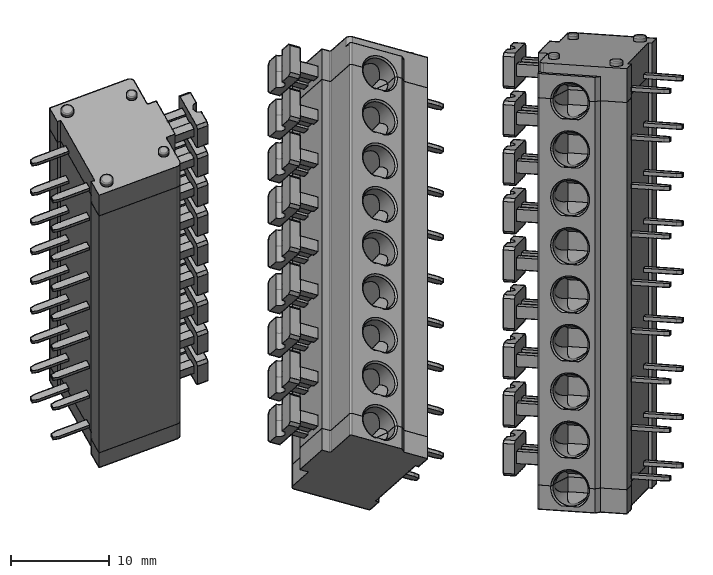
import cadquery as cq


POLES = 9
MIDDLE_LENGTH = 40.65
PITCH = MIDDLE_LENGTH / (POLES - 1)

PLATE_TOP = PITCH / 2
MIDDLE_TOP = PLATE_TOP + MIDDLE_LENGTH
RIB_TOP = MIDDLE_TOP + PITCH / 2
PEG_HEIGHT = 0.45
LENGTH = 47.2
HOUSING_TOP = LENGTH - PEG_HEIGHT

WIDTH = 12.5
RIB_DEPTH = 0.45
WALL_X = RIB_DEPTH
HOUSING_HEIGHT = 9.2
FOOT_WIDTH = 1.9
FOOT_HEIGHT = 0.4
BOSS_LEFT = 4.15
BOSS_WIDTH = 4.6
BOSS_RIGHT = BOSS_LEFT + BOSS_WIDTH
BOSS_TOP = 10.2
BOSS_BASE_RADIUS = 0.15
CORNER_RADIUS = 0.5

RIB_BOTTOM = 2.75
RIB_RADIUS = 0.2

ENTRY_Y = 5.8
ENTRY_DROP = 0.2
ENTRY_DIAMETER = 3.7
ENTRY_CHAMFER = 0.2
BORE_DEPTH = 0.95
FUNNEL_DEPTH = 2.85
MOUTH_LOW_Y, MOUTH_HIGH_Y = -2.1, 1.85
MOUTH_LOW_Z, MOUTH_HIGH_Z = -1.85, 2.1
FLOOR_LOW_Y, FLOOR_HIGH_Y = -1.15, 1.2
FLOOR_LOW_Z, FLOOR_HIGH_Z = -1.35, 0.55

LEVER_X = BOSS_LEFT + BOSS_WIDTH / 2
HEAD_RISE = 1.35
STEM_RISE = 1.3
LEVER_TOP = 13.9
HEAD_THICKNESS = 1.2
HEAD_HEIGHT = 3.75
HEAD_CHAMFER = 0.305
HEAD_GROOVE_DIAMETER = 1.25
STEM_WIDTH = 2.9
STEM_HEIGHT = 1.27
WEB_WIDTH = 1.15
WEB_THICKNESS = 0.7

FRONT_PIN_X = 3.95
PIN_X = (FRONT_PIN_X, FRONT_PIN_X + PITCH)
PIN_RISE = 0.5
PIN_WIDTH = 0.75
PIN_THICKNESS = 0.42
PIN_LENGTH = 3.65
PIN_TIP_LENGTH = 0.55
PIN_TIP_INSET = 0.15

PEGS = (
    (2.6, 8.15, 1.1),
    (10.4, 8.15, 1.1),
    (1.7, 1.4, 1.3),
    (11.3, 1.4, 1.3),
)
PEG_EDGE_RADIUS = 0.15


def block(x0, x1, y0, y1, z0, z1):
    """A rectangular block between two opposite corners."""
    return cq.Workplane("XY").box(x1 - x0, y1 - y0, z1 - z0, centered=False).translate((x0, y0, z0))


def pole_z(pole):
    """Height of a pole's reference plane; the first and last are the joints between bodies."""
    return PLATE_TOP + pole * PITCH


def housing(bottom, top):
    """A length of the housing with its feet and its lever boss."""
    shell = block(WALL_X, WIDTH, 0, HOUSING_HEIGHT, bottom, top)
    shell = shell.edges("|Z and >Y").fillet(CORNER_RADIUS)
    recess = block(WALL_X + FOOT_WIDTH, WIDTH - FOOT_WIDTH, 0, FOOT_HEIGHT, bottom, top)
    return shell.cut(recess).union(lever_boss(bottom, top))


def lever_boss(bottom, top):
    """The raised strip that carries the levers, flared by a small radius at its base."""
    radius = BOSS_BASE_RADIUS
    outline = (
        cq.Workplane("XY", origin=(0, 0, bottom))
        .moveTo(BOSS_LEFT - radius, HOUSING_HEIGHT)
        .radiusArc((BOSS_LEFT, HOUSING_HEIGHT + radius), -radius)
        .lineTo(BOSS_LEFT, BOSS_TOP)
        .lineTo(BOSS_RIGHT, BOSS_TOP)
        .lineTo(BOSS_RIGHT, HOUSING_HEIGHT + radius)
        .radiusArc((BOSS_RIGHT + radius, HOUSING_HEIGHT), -radius)
        .lineTo(BOSS_RIGHT + radius, HOUSING_HEIGHT - radius)
        .lineTo(BOSS_LEFT - radius, HOUSING_HEIGHT - radius)
        .close()
    )
    return outline.extrude(top - bottom)


def entry_rib(bottom, top):
    """The rib on the wire-entry side, beveled below and rounded above."""
    inner_x = WALL_X + CORNER_RADIUS
    rib = block(0, inner_x, RIB_BOTTOM, HOUSING_HEIGHT, bottom, top)
    rib = rib.edges("|Z and <X and <Y").chamfer(RIB_DEPTH)
    return rib.edges("|Z and <X and >Y").fillet(RIB_RADIUS)


def rectangle_wire(x, low_y, high_y, low_z, high_z):
    """A rectangular outline in the plane at x."""
    corners = [(low_y, low_z), (high_y, low_z), (high_y, high_z), (low_y, high_z)]
    return cq.Workplane("YZ", origin=(x, 0, 0)).polyline(corners).close().wire().val()


def wire_entry(pole):
    """The cutter for one wire entry; its countersink is flat at the bottom, level with the funnel mouth."""
    radius = ENTRY_DIAMETER / 2
    depth = BORE_DEPTH + FUNNEL_DEPTH
    bore = cq.Workplane("YZ").circle(radius).extrude(depth)
    throat = cq.Workplane("YZ").circle(radius).extrude(BORE_DEPTH)
    mouth = rectangle_wire(BORE_DEPTH, MOUTH_LOW_Y, MOUTH_HIGH_Y, MOUTH_LOW_Z, MOUTH_HIGH_Z)
    floor = rectangle_wire(depth, FLOOR_LOW_Y, FLOOR_HIGH_Y, FLOOR_LOW_Z, FLOOR_HIGH_Z)
    funnel = cq.Workplane(obj=cq.Solid.makeLoft([mouth, floor], True))
    countersink = (
        cq.Workplane("YZ")
        .circle(radius + ENTRY_CHAMFER)
        .workplane(offset=ENTRY_CHAMFER)
        .circle(radius)
        .loft()
    )
    below_sill = block(0, BORE_DEPTH, -ENTRY_DIAMETER, ENTRY_DIAMETER, -ENTRY_DIAMETER, MOUTH_LOW_Z)
    opening = throat.union(countersink).cut(below_sill)
    cutter = opening.union(bore.intersect(funnel))
    return cutter.translate((0, ENTRY_Y, pole_z(pole) - ENTRY_DROP))


def lever(pole):
    """One lever standing on the boss."""
    head_z = pole_z(pole) + HEAD_RISE
    stem_z = pole_z(pole) + STEM_RISE
    head_bottom = LEVER_TOP - HEAD_THICKNESS
    head = cq.Workplane("XY").box(BOSS_WIDTH, HEAD_THICKNESS, HEAD_HEIGHT)
    head = head.edges("|Y").chamfer(HEAD_CHAMFER)
    head = head.translate((LEVER_X, LEVER_TOP - HEAD_THICKNESS / 2, head_z))
    groove = (
        cq.Workplane("XY", origin=(LEVER_X, LEVER_TOP, head_z))
        .circle(HEAD_GROOVE_DIAMETER / 2)
        .extrude(HEAD_HEIGHT / 2, both=True)
    )
    stem_length = head_bottom - BOSS_TOP
    stem = cq.Workplane("XY").box(STEM_WIDTH, stem_length, STEM_HEIGHT)
    channel_depth = (STEM_HEIGHT - WEB_THICKNESS) / 2
    for side in (-1, 1):
        channel = cq.Workplane("XY").box(WEB_WIDTH, stem_length, channel_depth)
        stem = stem.cut(channel.translate((0, 0, side * (STEM_HEIGHT - channel_depth) / 2)))
    stem = stem.translate((LEVER_X, BOSS_TOP + stem_length / 2, stem_z))
    return head.cut(groove).union(stem)


def pin(x, pole):
    """One flat solder pin with a tapered tip."""
    half = PIN_WIDTH / 2
    tip_half = half - PIN_TIP_INSET
    taper_start = PIN_TIP_LENGTH - PIN_LENGTH
    outline = [
        (x - half, FOOT_HEIGHT),
        (x - half, taper_start),
        (x - tip_half, -PIN_LENGTH),
        (x + tip_half, -PIN_LENGTH),
        (x + half, taper_start),
        (x + half, FOOT_HEIGHT),
    ]
    z = pole_z(pole) + PIN_RISE
    profile = cq.Workplane("XY", origin=(0, 0, z)).polyline(outline).close()
    return profile.extrude(PIN_THICKNESS / 2, both=True)


def peg(x, y, diameter):
    """One round-edged locating peg on the end block."""
    post = cq.Workplane("XY", origin=(x, y, HOUSING_TOP)).circle(diameter / 2).extrude(PEG_HEIGHT)
    return post.faces(">Z").fillet(PEG_EDGE_RADIUS)


def terminal_body(bottom, top, rib_top, entry_poles, contact_poles):
    """A length of the block: housing and rib, opened by wire entries, with the levers and pins it carries."""
    body = housing(bottom, top).union(entry_rib(bottom, rib_top))
    for pole in entry_poles:
        body = body.cut(wire_entry(pole))
    for pole in contact_poles:
        body = body.union(lever(pole))
        for x in PIN_X:
            body = body.union(pin(x, pole))
    return body


last_pole = POLES - 1
end_plate = terminal_body(0, PLATE_TOP, PLATE_TOP, [0], [])
middle_block = terminal_body(PLATE_TOP, MIDDLE_TOP, MIDDLE_TOP, range(POLES), range(last_pole))
end_block = terminal_body(MIDDLE_TOP, HOUSING_TOP, RIB_TOP, [last_pole], [last_pole])
for peg_x, peg_y, peg_diameter in PEGS:
    end_block = end_block.union(peg(peg_x, peg_y, peg_diameter))

result = cq.Compound.makeCompound([end_plate.val(), middle_block.val(), end_block.val()])